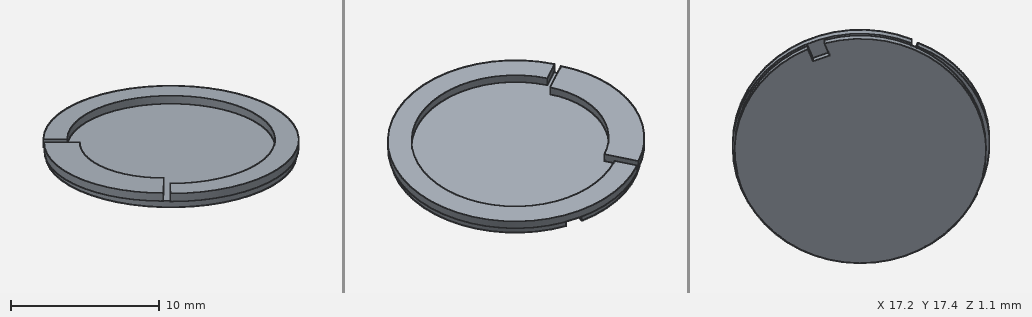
import cadquery as cq

disc_radius = 8.46
disc_thickness = 0.5

rim_height = 0.6

main_outer_radius = 8.6
main_inner_radius = 7.0

segment_outer_radius = 8.0
segment_inner_radius = 5.6
segment_center_y = -0.75

segment_apex_y = -0.66
wedge_reach = 2 * main_outer_radius

notch_width = 1.2
notch_depth = 1.0
notch_center_y = -0.08


def ring(outer_radius, inner_radius, center_y):
    """Flat ring of rim height resting on the disc's top plane."""
    return (
        cq.Workplane("XY", origin=(0, center_y, disc_thickness))
        .circle(outer_radius)
        .circle(inner_radius)
        .extrude(rim_height)
    )


def front_wedge(apex_y):
    """Right-angled wedge opening toward -Y, with its apex on the Y axis."""
    return (
        cq.Workplane("XY", origin=(0, apex_y, disc_thickness))
        .polyline([(0, 0), (-wedge_reach, -wedge_reach), (wedge_reach, -wedge_reach)])
        .close()
        .extrude(rim_height)
    )


def notched_disc():
    """Base disc with a rectangular notch through its -X edge."""
    disc = cq.Workplane("XY").circle(disc_radius).extrude(disc_thickness)
    notch = (
        cq.Workplane("XY", origin=(-disc_radius, notch_center_y, 0))
        .rect(2 * notch_depth, notch_width)
        .extrude(disc_thickness)
    )
    return disc.cut(notch)


main_rim = ring(main_outer_radius, main_inner_radius, 0).cut(front_wedge(0))
front_segment = ring(segment_outer_radius, segment_inner_radius, segment_center_y).intersect(
    front_wedge(segment_apex_y)
)

result = notched_disc().union(main_rim).union(front_segment)